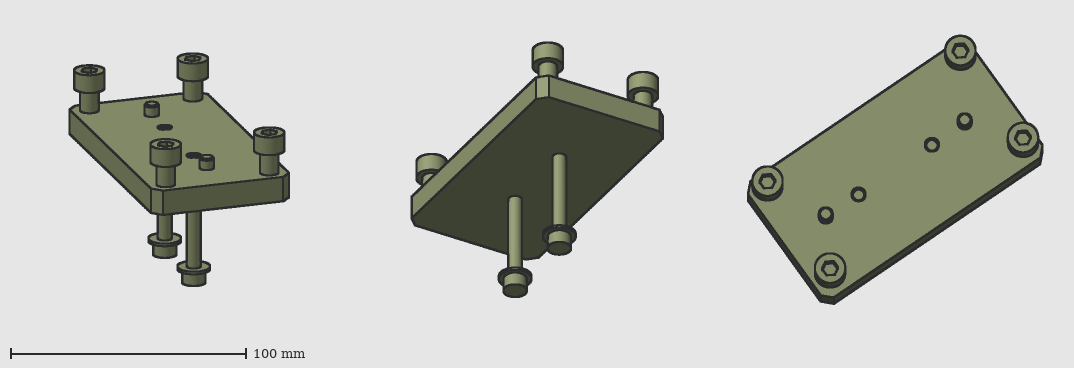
import cadquery as cq
import math

plate_length = 115.0
plate_width = 62.0
plate_thickness = 11.0
corner_chamfer = 4.0

corner_screw_x = 50.0
corner_screw_y = 23.25
corner_head_diameter = 13.0
corner_head_height = 8.0
corner_shank_diameter = 8.0
corner_head_standoff = 10.0
socket_across_flats = 6.0
socket_depth = 4.0

pin_x = 36.0
pin_diameter = 6.0
pin_tip_diameter = 4.92
pin_height = 5.0
pin_tip_height = 0.75

lower_screw_x = 19.0
lower_shank_diameter = 6.0
lower_shank_length = 39.0
washer_diameter = 14.0
washer_thickness = 1.2
lower_head_diameter = 10.0
lower_head_height = 6.0

hole_mouth_diameter = 6.0
hole_diameter = 4.92
hole_depth = 1.25

plate_top = plate_thickness
hole_chamfer = (hole_mouth_diameter - hole_diameter) / 2


def cylinder(x, y, z, diameter, height):
    """Vertical cylinder with the centre of its lower face at (x, y, z)."""
    return cq.Workplane("XY", origin=(x, y, z)).circle(diameter / 2).extrude(height)


def cone(x, y, z, lower_diameter, upper_diameter, height):
    """Vertical truncated cone with the centre of its lower face at (x, y, z)."""
    return cq.Workplane(
        cq.Solid.makeCone(lower_diameter / 2, upper_diameter / 2, height, pnt=cq.Vector(x, y, z))
    )


def make_plate():
    """Plate with its four vertical corners bevelled."""
    block = cq.Workplane("XY").box(plate_length, plate_width, plate_thickness, centered=(True, True, False))
    return block.edges("|Z").chamfer(corner_chamfer)


def make_corner_screw(x, y):
    """Shank and head with a hexagonal socket, standing on the plate."""
    head_bottom = plate_top + corner_head_standoff
    head_top = head_bottom + corner_head_height
    shank = cylinder(x, y, plate_top, corner_shank_diameter, corner_head_standoff)
    head = cylinder(x, y, head_bottom, corner_head_diameter, corner_head_height)
    across_corners = socket_across_flats / math.cos(math.pi / 6)
    socket = (
        cq.Workplane("XY", origin=(x, y, head_top))
        .transformed(rotate=(0, 0, 90))
        .polygon(6, across_corners)
        .extrude(-socket_depth)
    )
    return shank.union(head.cut(socket))


def make_pin(x):
    """Dowel pin with a tapered tip."""
    straight_height = pin_height - pin_tip_height
    body = cylinder(x, 0, plate_top, pin_diameter, straight_height)
    tip = cone(x, 0, plate_top + straight_height, pin_diameter, pin_tip_diameter, pin_tip_height)
    return body.union(tip)


def make_lower_screw(x):
    """Shank, washer and head hanging under the plate."""
    washer_bottom = -lower_shank_length - washer_thickness
    shank = cylinder(x, 0, -lower_shank_length, lower_shank_diameter, lower_shank_length)
    washer = cylinder(x, 0, washer_bottom, washer_diameter, washer_thickness)
    head = cylinder(x, 0, washer_bottom - lower_head_height, lower_head_diameter, lower_head_height)
    return shank.union(washer).union(head)


def make_hole(x):
    """Blind hole with a 45 degree countersunk mouth, as a body to cut away."""
    bore = cylinder(x, 0, plate_top - hole_depth, hole_diameter, hole_depth)
    mouth = cone(x, 0, plate_top - hole_chamfer, hole_diameter, hole_mouth_diameter, hole_chamfer)
    return bore.union(mouth)


result = make_plate()
for side in (-1, 1):
    result = result.union(make_pin(side * pin_x))
    result = result.union(make_lower_screw(side * lower_screw_x))
    result = result.cut(make_hole(side * lower_screw_x))
    for end in (-1, 1):
        result = result.union(make_corner_screw(side * corner_screw_x, end * corner_screw_y))